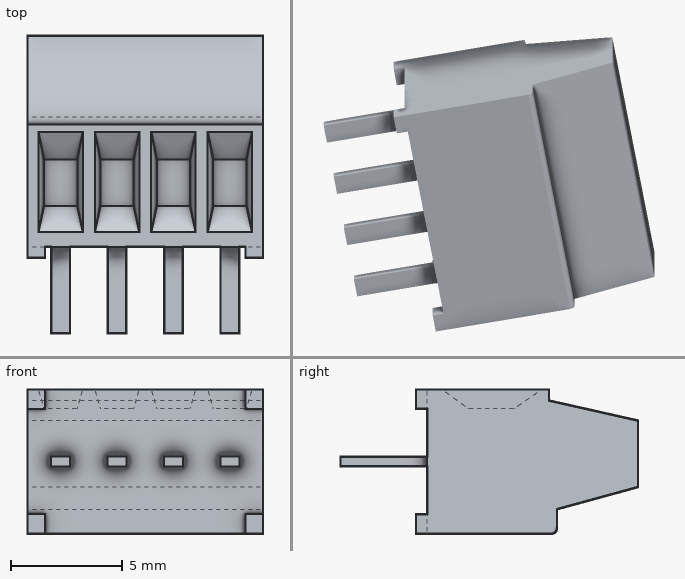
import cadquery as cq


POLE_COUNT = 4
POLE_PITCH = 2.54

HOUSING_WIDTH = 10.62
HOUSING_HEIGHT = 6.5
HOUSING_LENGTH = 9.5

UPPER_NOSE_LENGTH = 4.0
LOWER_NOSE_LENGTH = 3.65
NOSE_TIP_BOTTOM = 2.1
NOSE_TIP_HEIGHT = 3.0
UPPER_STEP_HEIGHT = 0.5
LOWER_STEP_HEIGHT = 1.1
LOWER_EDGE_RADIUS = 0.25

FOOT_WIDTH = 0.8
FOOT_HEIGHT = 0.88
FOOT_LENGTH = 0.5

PIN_WIDTH = 0.85
PIN_THICKNESS = 0.44
PIN_LENGTH = 3.9

ENTRY_WIDTH = 2.0
ENTRY_LENGTH = 4.5
ENTRY_FRONT_WALL = 0.67
ENTRY_DEPTH = 0.85
ENTRY_FLOOR_WIDTH = 1.5
ENTRY_FLOOR_LENGTH = 2.1
ENTRY_FLOOR_FRONT = 1.84

POLE_X = [(i - (POLE_COUNT - 1) / 2) * POLE_PITCH for i in range(POLE_COUNT)]


def make_housing():
    """Side profile in the YZ plane, extruded symmetrically across the width."""
    upper_step_y = HOUSING_LENGTH - UPPER_NOSE_LENGTH
    lower_step_y = HOUSING_LENGTH - LOWER_NOSE_LENGTH
    profile = (
        cq.Workplane("YZ")
        .moveTo(0, 0)
        .lineTo(lower_step_y - LOWER_EDGE_RADIUS, 0)
        .radiusArc((lower_step_y, LOWER_EDGE_RADIUS), -LOWER_EDGE_RADIUS)
        .lineTo(lower_step_y, LOWER_STEP_HEIGHT)
        .lineTo(HOUSING_LENGTH, NOSE_TIP_BOTTOM)
        .lineTo(HOUSING_LENGTH, NOSE_TIP_BOTTOM + NOSE_TIP_HEIGHT)
        .lineTo(upper_step_y, HOUSING_HEIGHT - UPPER_STEP_HEIGHT)
        .lineTo(upper_step_y, HOUSING_HEIGHT)
        .lineTo(0, HOUSING_HEIGHT)
        .close()
    )
    return profile.extrude(HOUSING_WIDTH / 2, both=True)


def make_feet():
    """Rectangular feet flush with the corners of the front face."""
    foot_x = (HOUSING_WIDTH - FOOT_WIDTH) / 2
    foot_z = (HOUSING_HEIGHT - FOOT_HEIGHT) / 2
    return (
        cq.Workplane("XZ")
        .center(0, HOUSING_HEIGHT / 2)
        .pushPoints([(x, z) for x in (-foot_x, foot_x) for z in (-foot_z, foot_z)])
        .rect(FOOT_WIDTH, FOOT_HEIGHT)
        .extrude(FOOT_LENGTH)
    )


def make_pins():
    """Flat solder pins standing out of the front face at mid-height."""
    return (
        cq.Workplane("XZ")
        .center(0, HOUSING_HEIGHT / 2)
        .pushPoints([(x, 0) for x in POLE_X])
        .rect(PIN_WIDTH, PIN_THICKNESS)
        .extrude(PIN_LENGTH)
    )


def make_wire_entry(x):
    """Funnel that narrows from the top face to a smaller, offset flat floor."""
    mouth_y = ENTRY_FRONT_WALL + ENTRY_LENGTH / 2
    floor_y = ENTRY_FLOOR_FRONT + ENTRY_FLOOR_LENGTH / 2
    return (
        cq.Workplane("XY", origin=(x, mouth_y, HOUSING_HEIGHT))
        .rect(ENTRY_WIDTH, ENTRY_LENGTH)
        .workplane(offset=-ENTRY_DEPTH)
        .center(0, floor_y - mouth_y)
        .rect(ENTRY_FLOOR_WIDTH, ENTRY_FLOOR_LENGTH)
        .loft(ruled=True)
    )


result = make_housing().union(make_feet()).union(make_pins())
for pole_x in POLE_X:
    result = result.cut(make_wire_entry(pole_x))